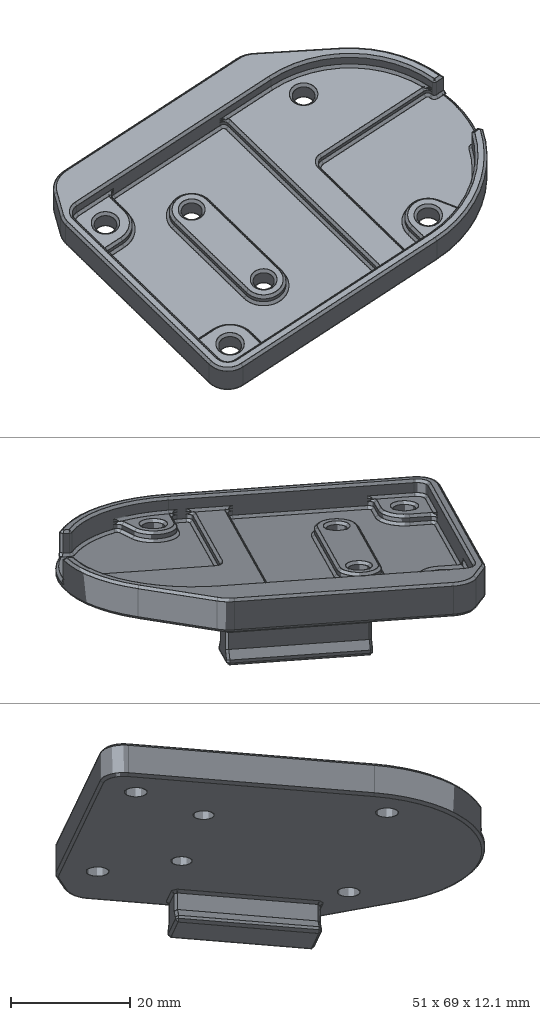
import cadquery as cq
import math

PLATE_HEIGHT = 6.0
HEAD_RADIUS = 23.0
LEFT_X = -28.0
BOTTOM_Y = -46.0
FLANGE_TOP_Y = 0.0
FLANGE_BOTTOM_X = -20.0
FLANGE_BOTTOM_Y = -42.0
FLANGE_CORNER_RADIUS = 5.0
PLATE_CORNER_RADIUS = 4.0
BEVEL = 0.5

WALL = 2.0
SHELF_Z = 3.25
FLOOR_Z = 1.5
CAVITY_RADIUS = HEAD_RADIUS - WALL
CAVITY_BOTTOM_Y = BOTTOM_Y + WALL
CAVITY_CORNER_RADIUS = PLATE_CORNER_RADIUS - WALL
POCKET_FILLET = 1.0

GAP_LEFT_X = -3.05
GAP_RIGHT_X = 9.0
GAP_TIP_FILLET = 0.5
GAP_OUTER_TRIM = 0.75
GAP_TRIM_ANGLE = 34.0

UPPER_POCKET_X = -4.5
UPPER_POCKET_Y = -4.0
UPPER_POCKET_RADIUS = 1.5
LOWER_POCKET_Y = -10.0

SCREW_DIAMETER = 3.8
SCREW_X = 16.5
SCREW_UPPER_Y = 3.45
SCREW_LOWER_Y = -39.5
UPPER_BOSS_RADIUS = 3.9
UPPER_BOSS_ANGLE = 25.0
LOWER_BOSS_RADIUS = 4.5

BAR_HOLE_DIAMETER = 3.5
BAR_HOLE_X = 9.5
BAR_Y = -26.5
BAR_WIDTH = 7.5

RAIL_X = -24.0
RAIL_Y = -12.8
RAIL_LENGTH = 25.0
TOTAL_HEIGHT = 12.1
RAIL_DEPTH = TOTAL_HEIGHT - PLATE_HEIGHT
STEM_WIDTH = 5.25
FOOT_WIDTH = 7.3
STEM_DEPTH = 3.5
FOOT_SLOPE_DEPTH = 1.5

SPAN = 2 * HEAD_RADIUS


def block(x_min, x_max, y_min, y_max, z_min, z_max):
    """Axis-aligned box given by its limits."""
    return cq.Workplane("XY").box(
        x_max - x_min, y_max - y_min, z_max - z_min, centered=False
    ).translate((x_min, y_min, z_min))


def round_edge(solid, x, y, radius):
    """Fillet the vertical edge of a prism nearest to (x, y)."""
    z_middle = solid.val().BoundingBox().center.z
    nearest = cq.selectors.NearestToPointSelector((x, y, z_middle))
    return solid.edges("|Z").edges(nearest).fillet(radius)


def tapered(wire, taper):
    """Prism one bevel high whose sides lean in (or out, when negative) by taper degrees."""
    return cq.Workplane("XY").newObject([wire]).toPending().extrude(BEVEL, taper=taper)


def flare(prism, z_top):
    """Bevel cutter that widens the outline of a prism by 45 degrees up to z_top."""
    shift = (0, 0, z_top - BEVEL - prism.val().BoundingBox().zmax)
    top = prism.faces(">Z").val().translate(shift)
    cutter = tapered(top.outerWire(), -45)
    for island in top.innerWires():
        cutter = cutter.cut(tapered(island, 45))
    return cutter


def plate():
    """Bevelled plate whose slanted flange edge runs tangent into the round head."""
    tangent_angle = math.pi - math.acos(HEAD_RADIUS / -LEFT_X)
    tangent_x = HEAD_RADIUS * math.cos(tangent_angle)
    tangent_y = HEAD_RADIUS * math.sin(tangent_angle)
    body = (
        cq.Workplane("XY")
        .moveTo(HEAD_RADIUS, 0)
        .threePointArc((0, HEAD_RADIUS), (tangent_x, tangent_y))
        .lineTo(LEFT_X, FLANGE_TOP_Y)
        .lineTo(LEFT_X, FLANGE_BOTTOM_Y)
        .lineTo(FLANGE_BOTTOM_X, BOTTOM_Y)
        .lineTo(HEAD_RADIUS, BOTTOM_Y)
        .close()
        .extrude(PLATE_HEIGHT)
    )
    body = round_edge(body, LEFT_X, FLANGE_TOP_Y, FLANGE_CORNER_RADIUS)
    body = round_edge(body, LEFT_X, FLANGE_BOTTOM_Y, FLANGE_CORNER_RADIUS)
    body = round_edge(body, FLANGE_BOTTOM_X, BOTTOM_Y, PLATE_CORNER_RADIUS)
    body = round_edge(body, HEAD_RADIUS, BOTTOM_Y, PLATE_CORNER_RADIUS)
    return body.faces("<Z or >Z").chamfer(BEVEL)


def gap_prism(z_min, z_max):
    """Straight opening through the head, with the outer tip on its right trimmed at a slant."""
    trim_y = math.sqrt(HEAD_RADIUS**2 - GAP_RIGHT_X**2) - GAP_OUTER_TRIM
    trim_end_x = GAP_RIGHT_X + (SPAN - trim_y) / math.tan(math.radians(GAP_TRIM_ANGLE))
    return (
        cq.Workplane("XY", origin=(0, 0, z_min))
        .polyline([
            (GAP_LEFT_X, 0),
            (GAP_RIGHT_X, 0),
            (GAP_RIGHT_X, trim_y),
            (trim_end_x, SPAN),
            (GAP_LEFT_X, SPAN),
        ])
        .close()
        .extrude(z_max - z_min)
    )


def cavity_prism(z_min, z_max):
    """Room inside the wall, open through the gap in the head."""
    room = (
        cq.Workplane("XY", origin=(0, 0, z_min))
        .moveTo(CAVITY_RADIUS, 0)
        .threePointArc((0, CAVITY_RADIUS), (-CAVITY_RADIUS, 0))
        .lineTo(-CAVITY_RADIUS, CAVITY_BOTTOM_Y)
        .lineTo(CAVITY_RADIUS, CAVITY_BOTTOM_Y)
        .close()
        .extrude(z_max - z_min)
    )
    for x in (-CAVITY_RADIUS, CAVITY_RADIUS):
        room = round_edge(room, x, CAVITY_BOTTOM_Y, CAVITY_CORNER_RADIUS)
    room = room.union(gap_prism(z_min, z_max))
    for x in (GAP_LEFT_X, GAP_RIGHT_X):
        room = round_edge(room, x, math.sqrt(CAVITY_RADIUS**2 - x**2), GAP_TIP_FILLET)
    return room


def upper_pocket_prism(z_min, z_max):
    """Deep pocket in the head, going round the upper right screw boss."""
    pocket = cavity_prism(z_min, z_max).intersect(
        block(UPPER_POCKET_X, 2 * SPAN, UPPER_POCKET_Y, SPAN, z_min, z_max)
    )
    angle = math.radians(UPPER_BOSS_ANGLE)
    tangent_x = SCREW_X - UPPER_BOSS_RADIUS * math.sin(angle)
    tangent_y = SCREW_UPPER_Y + UPPER_BOSS_RADIUS * math.cos(angle)
    boss_bottom_y = SCREW_UPPER_Y - UPPER_BOSS_RADIUS
    far_x = SCREW_X + CAVITY_RADIUS
    far_y = tangent_y + (far_x - tangent_x) * math.tan(angle)
    boss = (
        cq.Workplane("XY", origin=(0, 0, z_min))
        .moveTo(tangent_x, tangent_y)
        .threePointArc((SCREW_X - UPPER_BOSS_RADIUS, SCREW_UPPER_Y), (SCREW_X, boss_bottom_y))
        .lineTo(far_x, boss_bottom_y)
        .lineTo(far_x, far_y)
        .close()
        .extrude(z_max - z_min)
    )
    pocket = pocket.cut(boss)

    offset = tangent_y * math.cos(angle) - tangent_x * math.sin(angle)
    along = math.sqrt(CAVITY_RADIUS**2 - offset**2)
    meet_x = along * math.cos(angle) - offset * math.sin(angle)
    meet_y = along * math.sin(angle) + offset * math.cos(angle)

    pocket = round_edge(pocket, UPPER_POCKET_X, UPPER_POCKET_Y, UPPER_POCKET_RADIUS)
    shelf_end_y = math.sqrt(CAVITY_RADIUS**2 - UPPER_POCKET_X**2)
    for x, y in (
        (CAVITY_RADIUS, UPPER_POCKET_Y),
        (CAVITY_RADIUS, boss_bottom_y),
        (meet_x, meet_y),
        (UPPER_POCKET_X, shelf_end_y),
    ):
        pocket = round_edge(pocket, x, y, POCKET_FILLET)
    return pocket


def lower_pocket_prism(z_min, z_max):
    """Deep pocket below the shelf, with two corner bosses and the raised bar."""
    pocket = block(-CAVITY_RADIUS, CAVITY_RADIUS, CAVITY_BOTTOM_Y, LOWER_POCKET_Y, z_min, z_max)
    boss_top_y = SCREW_LOWER_Y + LOWER_BOSS_RADIUS
    boss_inner_x = SCREW_X - LOWER_BOSS_RADIUS
    for side in (-1, 1):
        x_limits = sorted((side * boss_inner_x, side * CAVITY_RADIUS))
        boss = block(*x_limits, CAVITY_BOTTOM_Y, boss_top_y, z_min, z_max)
        boss = round_edge(boss, side * boss_inner_x, boss_top_y, LOWER_BOSS_RADIUS)
        pocket = pocket.cut(boss)
        for x, y in (
            (side * CAVITY_RADIUS, LOWER_POCKET_Y),
            (side * CAVITY_RADIUS, boss_top_y),
            (side * boss_inner_x, CAVITY_BOTTOM_Y),
        ):
            pocket = round_edge(pocket, x, y, POCKET_FILLET)
    bar = (
        cq.Workplane("XY", origin=(0, BAR_Y, z_min))
        .slot2D(2 * BAR_HOLE_X + BAR_WIDTH, BAR_WIDTH)
        .extrude(z_max - z_min)
    )
    return pocket.cut(bar)


def cut_cavity(body):
    """Sink the cavity to shelf level, then both deep pockets, with bevels above and below."""
    room = cavity_prism(SHELF_Z, PLATE_HEIGHT)
    body = body.cut(room.faces("<Z").chamfer(BEVEL)).cut(flare(room, PLATE_HEIGHT))
    within_walls = cavity_prism(FLOOR_Z, PLATE_HEIGHT)
    for prism in (upper_pocket_prism, lower_pocket_prism):
        pocket = prism(FLOOR_Z, SHELF_Z + BEVEL)
        body = body.cut(pocket.faces("<Z").chamfer(BEVEL))
        body = body.cut(flare(pocket, SHELF_Z).intersect(within_walls))
    return body


def bevel_gap_sill(body):
    """Bevel the outer edge of the floor where the rim is open."""
    ring = (
        cq.Workplane("XZ")
        .polyline([
            (HEAD_RADIUS - BEVEL, FLOOR_Z),
            (HEAD_RADIUS, FLOOR_Z - BEVEL),
            (HEAD_RADIUS, FLOOR_Z),
        ])
        .close()
        .revolve(360, (0, 0, 0), (0, 1, 0))
    )
    return body.cut(ring.intersect(gap_prism(0, PLATE_HEIGHT)))


def cut_hole(body, x, y, diameter):
    """Through hole with a bevelled mouth at shelf level."""
    radius = diameter / 2
    cutter = (
        cq.Workplane("XZ")
        .polyline([
            (0, 0),
            (radius, 0),
            (radius, SHELF_Z - BEVEL),
            (radius + BEVEL, SHELF_Z),
            (0, SHELF_Z),
        ])
        .close()
        .revolve(360, (0, 0, 0), (0, 1, 0))
    )
    return body.cut(cutter.translate((x, y, 0)))


def rail():
    """Rail with a flared foot, bevelled ends and a bevelled root under the plate."""
    stem = STEM_WIDTH / 2
    foot = FOOT_WIDTH / 2
    slope_end = STEM_DEPTH + FOOT_SLOPE_DEPTH
    bar = (
        cq.Workplane("XZ")
        .polyline([
            (-stem, FLOOR_Z),
            (-stem, -STEM_DEPTH),
            (-foot, -slope_end),
            (-foot, -RAIL_DEPTH),
            (foot, -RAIL_DEPTH),
            (foot, -slope_end),
            (stem, -STEM_DEPTH),
            (stem, FLOOR_Z),
        ])
        .close()
        .extrude(RAIL_LENGTH / 2, both=True)
    )
    bar = bar.faces("<Y or >Y or <Z").edges().chamfer(BEVEL)
    root = cq.Workplane("XY").rect(STEM_WIDTH, RAIL_LENGTH).extrude(BEVEL).edges("|Z").chamfer(BEVEL)
    return bar.union(flare(root, 0)).translate((RAIL_X, RAIL_Y, 0))


result = bevel_gap_sill(cut_cavity(plate()))
for screw_y in (SCREW_UPPER_Y, SCREW_LOWER_Y):
    for screw_x in (-SCREW_X, SCREW_X):
        result = cut_hole(result, screw_x, screw_y, SCREW_DIAMETER)
for bar_x in (-BAR_HOLE_X, BAR_HOLE_X):
    result = cut_hole(result, bar_x, BAR_Y, BAR_HOLE_DIAMETER)
result = result.union(rail())